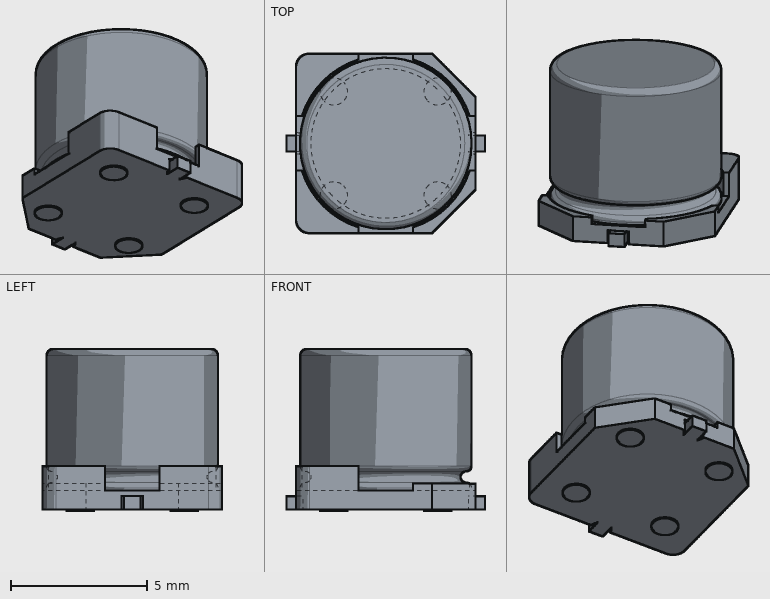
import cadquery as cq

BASE_WIDTH = 6.6
BASE_HEIGHT = 1.6
LOW_CORNER_HEIGHT = 0.955
CORNER_RADIUS = 0.5
CORNER_CHAMFER = 1.6
SEAT_CLEARANCE = 0.09
SEAT_FLOOR = 0.7
NOTCH_WIDTH = 2.0

CAN_DIAMETER = 6.3
CAN_RADIUS = CAN_DIAMETER / 2
CAN_TOP = 5.9
CAN_TOP_FILLET = 0.25
GROOVE_BAND_BOTTOM = 0.795
GROOVE_RADIUS = (BASE_HEIGHT - GROOVE_BAND_BOTTOM) / 4

LEAD_SPAN = 7.3
LEAD_WIDTH = 0.6
LEAD_HEIGHT = 0.5
RECESS_DIAMETER = 0.8

FOOT_DIAMETER = 1.0
FOOT_HEIGHT = 0.05
FOOT_OFFSET = 1.905

HALF_BASE = BASE_WIDTH / 2


def make_block():
    """Square base block, rounded on the -X corners and chamfered on the +X corners."""
    block = cq.Workplane("XY").box(BASE_WIDTH, BASE_WIDTH, BASE_HEIGHT, centered=(True, True, False))
    block = block.edges("|Z and <X").fillet(CORNER_RADIUS)
    return block.edges("|Z and >X").chamfer(CORNER_CHAMFER)


def box_above(floor, x_size, y_size, x_center=0, y_center=0):
    """Cutting box from the given floor up to the top of the base."""
    return (
        cq.Workplane("XY", origin=(x_center, y_center, floor))
        .box(x_size, y_size, BASE_HEIGHT - floor, centered=(True, True, False))
    )


def make_base():
    """Base with a round seat for the can, a notch in each side and lowered +X corners."""
    base = make_block()
    seat = (
        cq.Workplane("XY", origin=(0, 0, SEAT_FLOOR))
        .circle(CAN_RADIUS + SEAT_CLEARANCE)
        .extrude(BASE_HEIGHT - SEAT_FLOOR)
    )
    base = base.cut(seat)
    base = base.cut(box_above(SEAT_FLOOR, BASE_WIDTH, NOTCH_WIDTH))
    base = base.cut(box_above(SEAT_FLOOR, NOTCH_WIDTH, BASE_WIDTH))

    low_size = HALF_BASE - NOTCH_WIDTH / 2
    low_center = (HALF_BASE + NOTCH_WIDTH / 2) / 2
    for side in (-1, 1):
        base = base.cut(box_above(LOW_CORNER_HEIGHT, low_size, low_size, low_center, side * low_center))
    return base


def make_can():
    """Can turned about Z, with a rounded top rim and a smooth-lipped groove inside the base."""
    lip_radius = CAN_RADIUS - GROOVE_RADIUS
    groove_middle = BASE_HEIGHT - 2 * GROOVE_RADIUS
    groove_top = groove_middle + GROOVE_RADIUS
    groove_bottom = groove_middle - GROOVE_RADIUS
    profile = (
        cq.Workplane("XZ")
        .moveTo(0, SEAT_FLOOR)
        .lineTo(CAN_RADIUS, SEAT_FLOOR)
        .lineTo(CAN_RADIUS, GROOVE_BAND_BOTTOM)
        .radiusArc((lip_radius, groove_bottom), -GROOVE_RADIUS)
        .threePointArc((lip_radius - GROOVE_RADIUS, groove_middle), (lip_radius, groove_top))
        .radiusArc((CAN_RADIUS, BASE_HEIGHT), -GROOVE_RADIUS)
        .lineTo(CAN_RADIUS, CAN_TOP)
        .lineTo(0, CAN_TOP)
        .close()
    )
    can = profile.revolve(360, (0, 0, 0), (0, 1, 0))
    return can.faces(">Z").edges().fillet(CAN_TOP_FILLET)


def make_lead_recesses():
    """Half-round recesses in the -X and +X sides, open at the bottom."""
    return (
        cq.Workplane("XY")
        .pushPoints([(-HALF_BASE, 0), (HALF_BASE, 0)])
        .circle(RECESS_DIAMETER / 2)
        .extrude(LEAD_HEIGHT)
    )


def make_leads():
    """One flat strip through the base, ending as a lead on each side."""
    return cq.Workplane("XY").box(LEAD_SPAN, LEAD_WIDTH, LEAD_HEIGHT, centered=(True, True, False))


def make_feet():
    """Four thin round feet under the base."""
    return (
        cq.Workplane("XY")
        .rect(2 * FOOT_OFFSET, 2 * FOOT_OFFSET, forConstruction=True)
        .vertices()
        .circle(FOOT_DIAMETER / 2)
        .extrude(-FOOT_HEIGHT)
    )


base = make_base().cut(make_lead_recesses())
result = base.union(make_leads()).union(make_can()).union(make_feet())